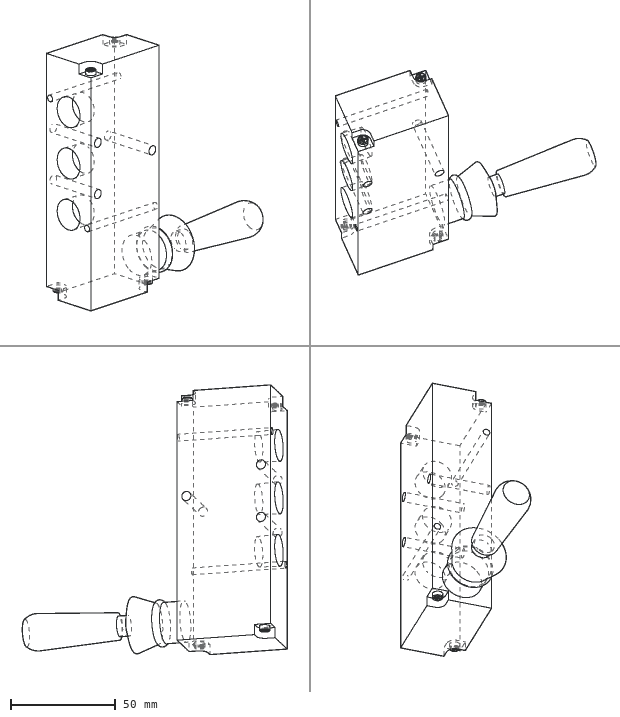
import cadquery as cq
import math

body_width = 30.0
body_depth = 46.4
body_height = 123.0

hole_centre_z = 71.0
port_pitch = 26.0
port_mouth_diameter = 15.3
port_floor_diameter = 14.7
port_depth = 10
front_hole_diameter = 3.3
front_hole_offset_x = 12.4
front_hole_offset_z = 29.8
side_hole_diameter = 4.5
side_hole_inset_back = 4.6
side_hole_inset_front = 4.8

pocket_size = 8.0
pocket_radius = pocket_size / 2
pocket_depth = 5
screw_diameter = 5
screw_height = 2.5
screw_chamfer = 0.44
cross_length = 3.5
cross_width = 0.8
cross_depth = 1.0

lever_axis_z = 13.0
overall_depth = 125.4
lever_length = overall_depth - body_depth
boss_radius = 20.0 / 2
boss_length = 9.9
ring_section_radius = 4.1 / 2
ring_centre_radius = 9.3
ring_position = boss_length + ring_section_radius
ring_half_chord = math.sqrt(ring_section_radius**2 - (boss_radius - ring_centre_radius) ** 2)
flare_rim_position = 25.5
flare_rim_radius = 14.0
flare_rim_fillet = 1.0
flare_end = 28.1
flare_end_radius = 5.5
stem_radius = 10 / 2
grip_start = 32.7
grip_start_radius = 6.6
grip_start_fillet = 0.5
grip_dome_position = 72.6
grip_dome_radius = 9.0
grip_dome_arc_radius = 8.5
grip_end_radius = 6.6


def front_hole(x, z):
    """Hole crossing the full depth of the body."""
    return (
        cq.Workplane("XZ", origin=(x, 0, z))
        .circle(front_hole_diameter / 2)
        .extrude(-body_depth)
    )


def side_hole(y, z):
    """Mounting hole crossing the full width of the body."""
    return (
        cq.Workplane("YZ", origin=(-body_width / 2, y, z))
        .circle(side_hole_diameter / 2)
        .extrude(body_width)
    )


def port(z):
    """Blind port tapering slightly toward its flat floor."""
    return (
        cq.Workplane("XZ", origin=(0, 0, z))
        .circle(port_mouth_diameter / 2)
        .workplane(offset=-port_depth)
        .circle(port_floor_diameter / 2)
        .loft()
    )


def corner_pocket():
    """Pocket for the top corner at -X, +Y."""
    return (
        cq.Workplane("XY", origin=(-body_width / 2, body_depth, body_height - pocket_depth))
        .rect(2 * pocket_size, 2 * pocket_size)
        .extrude(pocket_depth)
        .edges("|Z")
        .fillet(pocket_radius)
    )


def corner_screw():
    """Cross-recessed screw head standing on the floor of the corner pocket."""
    head = (
        cq.Workplane("XY")
        .circle(screw_diameter / 2)
        .extrude(screw_height)
        .faces(">Z")
        .chamfer(screw_chamfer)
    )
    recess_z = screw_height - cross_depth / 2
    for length, width in ((cross_length, cross_width), (cross_width, cross_length)):
        head = head.cut(cq.Workplane("XY").box(length, width, cross_depth).translate((0, 0, recess_z)))
    return head.translate(
        (
            -body_width / 2 + pocket_radius,
            body_depth - pocket_radius,
            body_height - pocket_depth,
        )
    )


def all_corners(feature):
    """Copies of a top corner feature for both top pockets and both bottom pockets."""
    centre = (0, body_depth / 2, body_height / 2)
    along_x = (1, body_depth / 2, body_height / 2)
    along_z = (0, body_depth / 2, body_height / 2 + 1.3)
    top_pair = [feature, feature.rotate(centre, along_z, 180)]
    bottom_pair = [copy.rotate(centre, along_x, 180) for copy in top_pair]
    return top_pair + bottom_pair


def boss_and_flare():
    """Boss with a rounded ring, opening into a flare with a rounded rim."""
    turned = (
        cq.Workplane("XY")
        .lineTo(boss_radius, 0)
        .lineTo(boss_radius, ring_position - ring_half_chord)
        .threePointArc(
            (ring_centre_radius + ring_section_radius, ring_position),
            (boss_radius, ring_position + ring_half_chord),
        )
        .lineTo(flare_rim_radius, flare_rim_position)
        .lineTo(flare_end_radius, flare_end)
        .lineTo(0, flare_end)
        .close()
        .revolve(360, (0, 0), (0, 1))
    )
    rim = cq.selectors.BoxSelector(
        (-body_width, flare_rim_position - flare_rim_fillet, -body_width),
        (body_width, flare_rim_position + flare_rim_fillet, body_width),
    )
    return turned.edges(rim).fillet(flare_rim_fillet)


def stem():
    """Round stem joining the flare to the grip."""
    return cq.Workplane("XZ", origin=(0, flare_end, 0)).circle(stem_radius).extrude(flare_end - grip_start)


def grip():
    """Grip widening outward to a domed end, with a softened inner edge."""
    turned = (
        cq.Workplane("XY")
        .moveTo(0, grip_start)
        .lineTo(grip_start_radius, grip_start)
        .lineTo(grip_dome_radius, grip_dome_position)
        .radiusArc((grip_end_radius, lever_length), -grip_dome_arc_radius)
        .lineTo(0, lever_length)
        .close()
        .revolve(360, (0, 0), (0, 1))
    )
    return turned.faces("<Y").edges().fillet(grip_start_fillet)


def lever():
    """Complete lever, seated on the back face of the body."""
    return boss_and_flare().union(stem()).union(grip()).translate((0, body_depth, lever_axis_z))


result = cq.Workplane("XY").box(body_width, body_depth, body_height, centered=(True, False, False))

for step in (-1, 0, 1):
    result = result.cut(port(hole_centre_z + step * port_pitch))

for side in (-1, 1):
    front_hole_z = hole_centre_z - side * front_hole_offset_z
    front_side_hole_z = hole_centre_z + side * port_pitch / 2
    result = result.cut(front_hole(side * front_hole_offset_x, front_hole_z))
    result = result.cut(side_hole(side_hole_inset_front, front_side_hole_z))
result = result.cut(side_hole(body_depth - side_hole_inset_back, hole_centre_z))

for pocket in all_corners(corner_pocket()):
    result = result.cut(pocket)
for screw in all_corners(corner_screw()):
    result = result.union(screw)

result = result.union(lever())